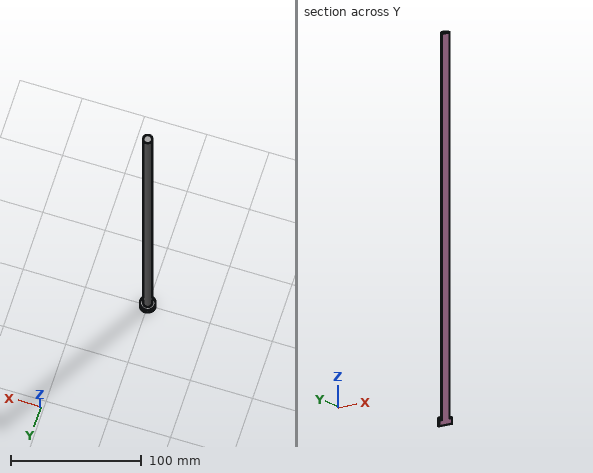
import cadquery as cq

overall_length = 315.0
head_diameter = 12.0
head_thickness = 5.0
shaft_diameter = 7.0
shaft_length = overall_length - head_thickness

head = cq.Workplane("XY").circle(head_diameter / 2).extrude(head_thickness)

result = head.faces(">Z").workplane().circle(shaft_diameter / 2).extrude(shaft_length)